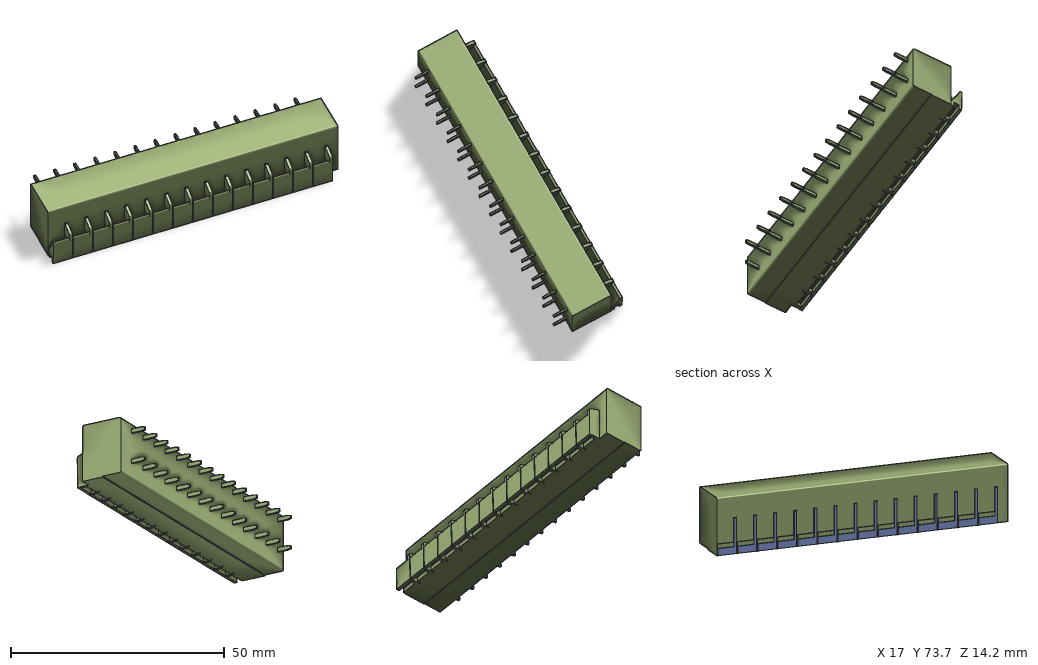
import cadquery as cq


poles = 14
pitch = 5.1
body_length = 73.65

body_width = 10.45
body_top = 14.2
body_bottom = 0.4
pad_start_x = 5.0
pad_bottom = 0.15
edge_radius = 0.45

pin_length = 3.5
pin_taper = 0.9
pin_thickness = 0.45
pin_height = 1.0
tip_height = 0.65
pin_embed = 0.7
lower_pin_z = 4.8
pin_row_spacing = 7.6

lever_gap = 0.2
lever_setback = 0.1
web_thickness = 0.7
lever_tip_x = 13.55
lever_foot_x = 13.4
web_shoulder_x = 10.8
web_shoulder_z = 9.0
web_tip_z = 7.8
web_tip_radius = 0.7
heel_x = 10.7
heel_top_z = 3.0
ramp_foot_z = 2.0
ramp_head_x = 12.8
ramp_head_z = 6.25
ramp_crown_height = 0.4
notch_start_x = 11.35
notch_end_x = 12.7
notch_top_z = 1.5


def outer_face_x(z):
    """X of the slightly leaning outer lever face at height z."""
    return lever_foot_x + (lever_tip_x - lever_foot_x) * z / web_tip_z


def prism(points, y_start, length):
    """Extrude an XZ outline from y_start toward +Y."""
    plane = cq.Workplane("XZ", origin=(0, y_start, 0))
    return plane.polyline(points).close().extrude(-length)


def make_body():
    outline = [
        (0, body_bottom),
        (pad_start_x, body_bottom),
        (pad_start_x, pad_bottom),
        (body_width, pad_bottom),
        (body_width, body_top),
        (0, body_top),
    ]
    body = prism(outline, 0, body_length)
    pin_side_edges = body.faces("<X").edges("|Y")
    lever_side_top_edge = body.faces(">X").edges("|Y and >Z")
    return pin_side_edges.add(lever_side_top_edge).fillet(edge_radius)


def make_pin(y, z):
    """Flat pin whose end narrows in height only."""
    half_height = pin_height / 2
    half_tip = tip_height / 2
    outline = [
        (pin_embed, z - half_height),
        (pin_embed, z + half_height),
        (pin_taper - pin_length, z + half_height),
        (-pin_length, z + half_tip),
        (-pin_length, z - half_tip),
        (pin_taper - pin_length, z - half_height),
    ]
    return prism(outline, y - pin_thickness / 2, pin_thickness)


def make_lever(y_start):
    width = pitch - lever_gap
    block_width = width - web_thickness

    web_outline = [
        (body_width, pad_bottom),
        (notch_end_x, pad_bottom),
        (notch_end_x, 0),
        (lever_foot_x, 0),
        (lever_tip_x, web_tip_z),
        (web_shoulder_x, web_shoulder_z),
        (body_width, web_shoulder_z),
    ]
    web = prism(web_outline, y_start + block_width, web_thickness)
    web = web.edges("|Y and >X").fillet(web_tip_radius)

    head_outer_x = outer_face_x(ramp_head_z)
    crown = ((ramp_head_x + head_outer_x) / 2, ramp_head_z + ramp_crown_height)
    block = (
        cq.Workplane("XZ", origin=(0, y_start, 0))
        .moveTo(body_width, pad_bottom)
        .lineTo(notch_start_x, pad_bottom)
        .lineTo(notch_start_x, notch_top_z)
        .lineTo(notch_end_x, notch_top_z)
        .lineTo(notch_end_x, 0)
        .lineTo(lever_foot_x, 0)
        .lineTo(head_outer_x, ramp_head_z)
        .threePointArc(crown, (ramp_head_x, ramp_head_z))
        .lineTo(heel_x, ramp_foot_z)
        .lineTo(heel_x, heel_top_z)
        .lineTo(body_width, heel_top_z)
        .close()
        .extrude(-block_width)
    )

    return web.union(block)


result = make_body()
for pole in range(poles):
    pole_start = pole * pitch
    for row in range(2):
        result = result.union(make_pin(pole_start + pitch / 2, lower_pin_z + row * pin_row_spacing))
    result = result.union(make_lever(pole_start + lever_setback))